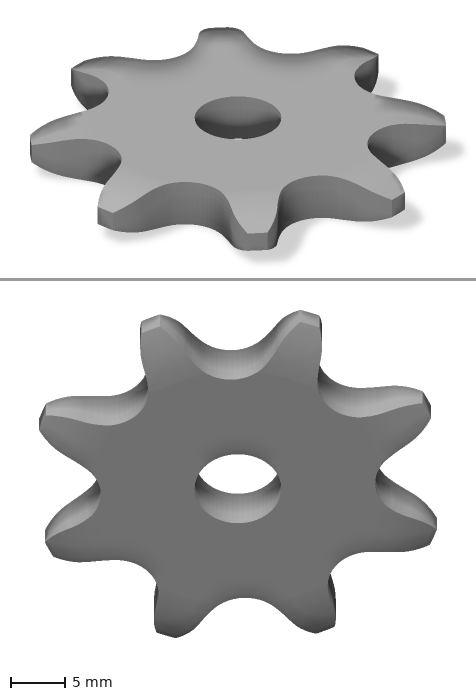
import cadquery as cq
import math

TEETH = 8
OVERALL_SIZE = 36.23
THICKNESS = 4.5
BORE_DIAMETER = 8.0

PITCH_RADIUS = 16.6
SEAT_RADIUS = 3.9
WORKING_RADIUS = 10.15
STRAIGHT_LENGTH = 0.5
TIP_RADIUS = 6.65
SEAT_END_ANGLE = math.radians(35 + 60 / TEETH)
WORKING_SWEEP = math.radians(18 - 56 / TEETH)

SIDE_ROUND_WIDTH = 5.65
SIDE_ROUND_RADIUS = 12.7

CUT_MARGIN = 1.8
CUT_HEIGHT = THICKNESS + 2 * CUT_MARGIN


def point_from(center, radius, angle):
    """Point on a circle, with the angle measured in radians from +X."""
    return (center[0] + radius * math.cos(angle), center[1] + radius * math.sin(angle))


seat_center = (0, PITCH_RADIUS)
seat_bottom = (0, PITCH_RADIUS - SEAT_RADIUS)
seat_middle = point_from(seat_center, SEAT_RADIUS, -(math.pi / 2 + SEAT_END_ANGLE) / 2)
seat_end = point_from(seat_center, SEAT_RADIUS, -SEAT_END_ANGLE)

flank_angle = WORKING_SWEEP - SEAT_END_ANGLE
working_center = point_from(seat_center, SEAT_RADIUS - WORKING_RADIUS, -SEAT_END_ANGLE)
working_middle = point_from(working_center, WORKING_RADIUS, (flank_angle - SEAT_END_ANGLE) / 2)
working_end = point_from(working_center, WORKING_RADIUS, flank_angle)

straight_end = point_from(working_end, STRAIGHT_LENGTH, flank_angle + math.pi / 2)
tip_center = point_from(straight_end, TIP_RADIUS, flank_angle)

corner_y = OVERALL_SIZE / 2
tip_start_angle = math.pi + flank_angle
tip_end_angle = math.pi - math.asin((corner_y - tip_center[1]) / TIP_RADIUS)
tip_middle = point_from(tip_center, TIP_RADIUS, (tip_start_angle + tip_end_angle) / 2)
tooth_corner = point_from(tip_center, TIP_RADIUS, tip_end_angle)
outer_radius = math.hypot(*tooth_corner)


def make_blank():
    """Solid disc whose rim is rounded toward both faces."""
    half = THICKNESS / 2
    flat_radius = outer_radius - SIDE_ROUND_WIDTH

    def side_height(offset):
        drop = SIDE_ROUND_RADIUS - math.sqrt(SIDE_ROUND_RADIUS**2 - offset**2)
        return half - drop

    middle_radius = flat_radius + SIDE_ROUND_WIDTH / 2
    middle_height = side_height(SIDE_ROUND_WIDTH / 2)
    rim_height = side_height(SIDE_ROUND_WIDTH)
    return (
        cq.Workplane("XZ")
        .moveTo(0, -half)
        .lineTo(flat_radius, -half)
        .threePointArc((middle_radius, -middle_height), (outer_radius, -rim_height))
        .lineTo(outer_radius, rim_height)
        .threePointArc((middle_radius, middle_height), (flat_radius, half))
        .lineTo(0, half)
        .close()
        .revolve(360, (0, 0), (0, 1))
    )


def make_gap():
    """Cutter for the tooth gap that opens toward +Y."""

    def mirrored(point):
        return (-point[0], point[1])

    outside = (tooth_corner[0], outer_radius + CUT_MARGIN)
    return (
        cq.Workplane("XY", origin=(0, 0, -CUT_HEIGHT / 2))
        .moveTo(*seat_bottom)
        .threePointArc(seat_middle, seat_end)
        .threePointArc(working_middle, working_end)
        .lineTo(*straight_end)
        .threePointArc(tip_middle, tooth_corner)
        .lineTo(*outside)
        .lineTo(*mirrored(outside))
        .lineTo(*mirrored(tooth_corner))
        .threePointArc(mirrored(tip_middle), mirrored(straight_end))
        .lineTo(*mirrored(working_end))
        .threePointArc(mirrored(working_middle), mirrored(seat_end))
        .threePointArc(mirrored(seat_middle), seat_bottom)
        .close()
        .extrude(CUT_HEIGHT)
    )


sprocket = make_blank()
gap = make_gap()
for index in range(TEETH):
    sprocket = sprocket.cut(gap.rotate((0, 0, 0), (0, 0, 1), index * 360 / TEETH))

bore = cq.Workplane("XY", origin=(0, 0, -CUT_HEIGHT / 2)).circle(BORE_DIAMETER / 2).extrude(CUT_HEIGHT)
result = sprocket.cut(bore)